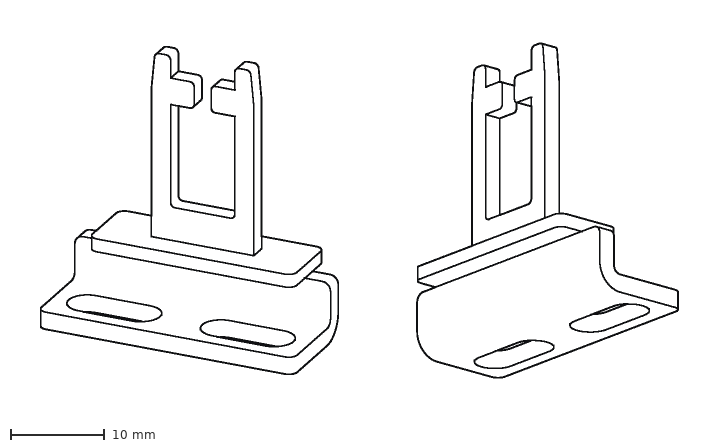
import cadquery as cq

LENGTH = 30.0
HEIGHT = 30.0
SHEET = 2.0
BASE_DEPTH = 11.5
FLANGE_TOP = 7.0
BEND_INNER = 0.8
BEND_OUTER = BEND_INNER + SHEET
CORNER = 1.0

SLOT_LENGTH = 10.68
SLOT_WIDTH = 4.38
SLOT_SPACING = 15.65
SLOT_FROM_FRONT = 4.0

COVER_LENGTH = 24.0
COVER_DEPTH = 8.0
COVER_THICKNESS = 1.5
COVER_TOP = FLANGE_TOP + COVER_THICKNESS

KEY_WIDTH = 12.0
WINDOW_WIDTH = 7.5
WINDOW_BOTTOM = 12.35
WINDOW_CORNER = 0.5
HOOK_BOTTOM = 24.3
HOOK_TOP = 27.4
HOOK_GAP = 1.98
HOOK_CORNER = 0.5
TAPER_START = 25.95
TIP_INSET = 0.4
TIP_CORNER = 0.57

FLANGE_BACK = SHEET / 2
BASE_FRONT = FLANGE_BACK - BASE_DEPTH


def make_bracket():
    profile = (
        cq.Workplane("YZ")
        .moveTo(BASE_FRONT, 0)
        .lineTo(FLANGE_BACK, 0)
        .lineTo(FLANGE_BACK, FLANGE_TOP)
        .lineTo(FLANGE_BACK - SHEET, FLANGE_TOP)
        .lineTo(FLANGE_BACK - SHEET, SHEET)
        .lineTo(BASE_FRONT, SHEET)
        .close()
    )
    bracket = profile.extrude(LENGTH / 2, both=True)
    inner_edge = cq.selectors.NearestToPointSelector((0, FLANGE_BACK - SHEET, SHEET))
    bracket = bracket.edges(inner_edge).fillet(BEND_INNER)
    bracket = bracket.edges("|X and >Y and <Z").fillet(BEND_OUTER)
    bracket = bracket.faces("<Y").edges("|Z").fillet(CORNER)
    bracket = bracket.faces(">Z").edges("|Y").fillet(CORNER)
    slots = (
        cq.Workplane("XY")
        .pushPoints([(side * SLOT_SPACING / 2, BASE_FRONT + SLOT_FROM_FRONT) for side in (-1, 1)])
        .slot2D(SLOT_LENGTH, SLOT_WIDTH)
        .extrude(SHEET)
    )
    return bracket.cut(slots)


def make_cover():
    return (
        cq.Workplane("XY", origin=(0, 0, FLANGE_TOP))
        .rect(COVER_LENGTH, COVER_DEPTH)
        .extrude(COVER_THICKNESS)
        .edges("|Z")
        .fillet(CORNER)
    )


def key_edges_near(key, points):
    """Select the thickness-direction edges through the given (x, z) points, on both arms."""
    edges = key.edges("|Y").vals()
    chosen = []
    for x, z in points:
        for side in (-1, 1):
            corner = cq.Vector(side * x, 0, z)
            chosen.append(min(edges, key=lambda edge: (edge.Center() - corner).Length))
    return key.newObject(chosen)


def make_key():
    outer = KEY_WIDTH / 2
    inner = WINDOW_WIDTH / 2
    hook = HOOK_GAP / 2
    tip = outer - TIP_INSET
    right_side = [
        (outer, COVER_TOP),
        (outer, TAPER_START),
        (tip, HEIGHT),
        (inner, HEIGHT),
        (inner, HOOK_TOP),
        (hook, HOOK_TOP),
        (hook, HOOK_BOTTOM),
        (inner, HOOK_BOTTOM),
        (inner, WINDOW_BOTTOM),
    ]
    left_side = [(-x, z) for x, z in reversed(right_side)]
    key = cq.Workplane("XZ").polyline(right_side + left_side).close().extrude(SHEET / 2, both=True)
    key = key_edges_near(key, [(tip, HEIGHT), (inner, HEIGHT)]).fillet(TIP_CORNER)
    key = key_edges_near(key, [(hook, HOOK_TOP), (hook, HOOK_BOTTOM)]).fillet(HOOK_CORNER)
    return key_edges_near(key, [(inner, WINDOW_BOTTOM)]).fillet(WINDOW_CORNER)


result = make_bracket().union(make_cover()).union(make_key())